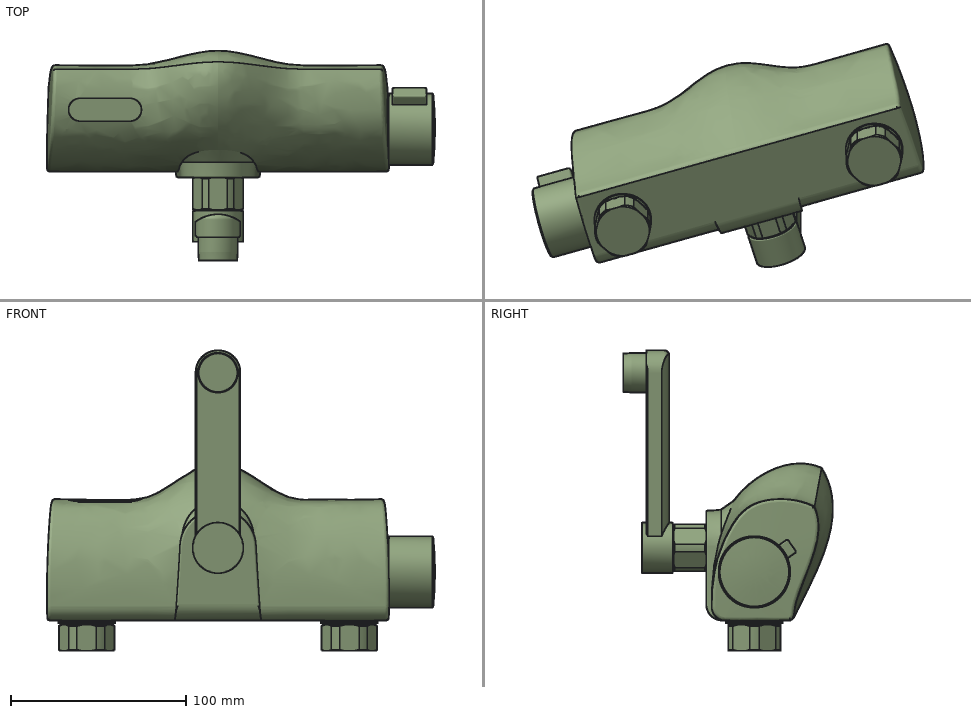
import cadquery as cq
import math


body_half_length = 97.8
hump_half_length = 48.0
hump_steps = 6
straight_steps = 4
end_cap_radius = 580.0
end_cap_center_y = -10.0
end_cap_center_z = 15.0
end_fillet = 2.0
envelope_low = -60.0
envelope_high = 110.0
end_top_z = 69.3
end_rear_y = 36.6

underside_rear_y = 20.5
underside_front_y = -16.5
front_end_points = [
    (-24.3, 8.0), (-21.7, 33.0), (-15.2, 50.0), (-4.0, 64.3), (14.0, end_top_z), (34.3, 65.0),
]
front_mid_points = [(-24.6, 8.0), (-22.5, 40.0), (-13.5, 66.0), (1.4, 81.3), (24.8, 89.8), (38.4, 87.3)]
rear_end_points = [(34.3, 65.0), (end_rear_y, 54.0), (32.8, 35.0), (22.4, 3.0)]
rear_mid_points = [(38.4, 87.3), (44.72, 68.0), (38.4, 35.0), (23.2, 3.0)]

recess_length = 41.7
recess_width = 13.0
recess_x = -64.5
recess_y = 11.1
recess_floor_z = 67.5

handle_z = 41.55
boss_front_y = -27.6
boss_rear_y = 0.0
boss_radius = 21.3
boss_foot_half_width = 24.6
boss_foot_z = -6.0
boss_draft = 4.0
boss_toe_radius = 9.5
boss_edge_fillet = 1.0
blend_start_y = -19.0
blend_depth = 14.0
blend_taper = 35.0

handle_diameter = 29.0
handle_hex_flats = 27.0
hex_chamfer = 0.6
handle_hex_end_y = -46.0
handle_neck_diameter = 26.44
handle_neck_length = 0.6
hub_end_y = -64.3
hub_fillet = 0.6
arm_width = 25.7
arm_length = 100.0
arm_front_y = -61.6
arm_side_rear_y = -52.9
arm_crown_rear_y = -48.6
arm_front_chamfer = 0.8
arm_end_fillet = 3.0
grip_overlap = 1.0
grip_diameter = 22.8
grip_tip_diameter = 22.0
grip_taper_y = -70.2
grip_end_y = -75.0

inlet_spacing = 150.0
inlet_flange_diameter = 32.6
inlet_flange_top_z = -0.6
inlet_flange_bottom_z = -1.6
inlet_neck_top_z = 2.0
inlet_neck_diameter = 28.5
nut_diameter = 32.0
nut_flats = 30.0
nut_top_z = -2.4
nut_bottom_z = -17.29
nut_chamfer = 0.8

knob_z = 27.8
knob_diameter = 41.0
knob_start_x = 97.6
knob_neck_diameter = 38.0
knob_neck_start_x = 90.0
knob_rim_x = 122.2
knob_end_x = 124.01
knob_rim_chamfer = 0.8
tab_start_x = 99.5
tab_end_x = 119.1
tab_angle = 35.0
tab_outer_radius = 26.2
tab_inner_radius = 15.0
tab_width = 9.0
tab_fillet = 1.0


def blended(end_points, mid_points, hump):
    """Points between the end section (hump = 0) and the middle section (hump = 1)."""
    return [
        (y0 + hump * (y1 - y0), z0 + hump * (z1 - z0))
        for (y0, z0), (y1, z1) in zip(end_points, mid_points)
    ]


def section_wire(x):
    """Closed body outline in the plane at x."""
    reach = min(abs(x) / hump_half_length, 1.0)
    hump = math.cos(math.pi / 2 * reach) ** 2
    front = blended(front_end_points, front_mid_points, hump)
    rear = blended(rear_end_points, rear_mid_points, hump)
    outline = (
        cq.Workplane("YZ", origin=(x, 0, 0))
        .moveTo(underside_rear_y, 0)
        .lineTo(underside_front_y, 0)
        .tangentArcPoint(front[0], relative=False)
        .spline(front[1:], includeCurrent=True)
        .spline(rear[1:], includeCurrent=True)
        .tangentArcPoint((underside_rear_y, 0), relative=False)
        .close()
    )
    return outline.val()


def make_body():
    """Humped body with slightly spherical, rounded ends."""
    hump_step = hump_half_length / hump_steps
    straight_step = (body_half_length - hump_half_length) / straight_steps
    stations = [hump_step * i for i in range(hump_steps)]
    stations += [hump_half_length + straight_step * i for i in range(straight_steps + 1)]
    half = cq.Workplane(obj=cq.Solid.makeLoft([section_wire(x) for x in stations]))
    body = half.union(half.mirror("YZ"))
    for side in (-1, 1):
        center = (side * (body_half_length - end_cap_radius), end_cap_center_y, end_cap_center_z)
        body = body.intersect(cq.Workplane("XY").sphere(end_cap_radius).translate(center))
    return body.faces("%SPHERE").edges().fillet(end_fillet)


def cut_recess(body):
    """Shallow flat-floored slot in the top."""
    slot = (
        cq.Workplane("XY", origin=(recess_x, recess_y, recess_floor_z))
        .slot2D(recess_length, recess_width)
        .extrude(end_top_z)
    )
    return body.cut(slot)


def make_boss():
    """Arched, drafted plate that carries the handle."""
    foot_drop = handle_z - boss_foot_z
    foot_angle = math.atan2(-foot_drop, boss_foot_half_width)
    foot_distance = math.hypot(boss_foot_half_width, foot_drop)
    shoulder_angle = foot_angle + math.acos(boss_radius / foot_distance)
    shoulder_x = boss_radius * math.cos(shoulder_angle)
    shoulder_z = handle_z + boss_radius * math.sin(shoulder_angle)
    depth = boss_rear_y - boss_front_y
    boss = (
        cq.Workplane("XZ", origin=(0, boss_front_y, 0))
        .moveTo(-boss_foot_half_width, boss_foot_z)
        .lineTo(boss_foot_half_width, boss_foot_z)
        .lineTo(shoulder_x, shoulder_z)
        .threePointArc((0, handle_z + boss_radius), (-shoulder_x, shoulder_z))
        .close()
        .extrude(-depth, taper=-boss_draft)
    )
    toe = (
        cq.Workplane("YZ", origin=(-body_half_length, 0, 0))
        .moveTo(boss_front_y, boss_toe_radius)
        .radiusArc((boss_front_y + boss_toe_radius, 0), -boss_toe_radius)
        .lineTo(boss_front_y + boss_toe_radius, envelope_low)
        .lineTo(envelope_low, envelope_low)
        .lineTo(envelope_low, boss_toe_radius)
        .close()
        .extrude(2 * body_half_length)
    )
    floor = cq.Workplane("XY").rect(2 * body_half_length, 2 * envelope_high).extrude(envelope_high)
    boss = boss.intersect(floor)
    return boss.faces("<Y").edges("not <Z").fillet(boss_edge_fillet).cut(toe)


def make_boss_blend():
    """Cone that eases the arched top of the boss into the hump; its lower part is buried in the body."""
    start_radius = boss_radius + (blend_start_y - boss_front_y) * math.tan(math.radians(boss_draft))
    return (
        cq.Workplane("XZ", origin=(0, blend_start_y, handle_z))
        .circle(start_radius)
        .extrude(-blend_depth, taper=-blend_taper)
    )


def along_y(start_y, end_y, diameter, z):
    """Cylinder running in -Y from start_y to end_y."""
    return cq.Workplane("XZ", origin=(0, start_y, z)).circle(diameter / 2).extrude(start_y - end_y)


def rounded_hex(plane, diameter, flats, length, chamfer):
    """Hexagon with one flat square to the plane's y axis and its corners turned to a diameter."""
    corner_diameter = flats / math.cos(math.pi / 6)
    hexagon = plane.polygon(6, corner_diameter).extrude(length)
    blank = plane.circle(diameter / 2).extrude(length).edges().chamfer(chamfer)
    return hexagon.intersect(blank)


def make_handle():
    """Hexagon, hub, upright arm and grip."""
    hexagon = rounded_hex(
        cq.Workplane("XZ", origin=(0, boss_front_y, handle_z)),
        handle_diameter, handle_hex_flats, boss_front_y - handle_hex_end_y, hex_chamfer,
    )
    hub_start_y = handle_hex_end_y - handle_neck_length
    neck = along_y(boss_rear_y, hub_start_y - handle_neck_length, handle_neck_diameter, handle_z)
    hub = along_y(hub_start_y, hub_end_y, handle_diameter, handle_z).edges().fillet(hub_fillet)

    grip_z = handle_z + arm_length
    half_width = arm_width / 2
    arm = (
        cq.Workplane("XY", origin=(0, 0, handle_z))
        .moveTo(-half_width, arm_side_rear_y)
        .threePointArc((0, arm_crown_rear_y), (half_width, arm_side_rear_y))
        .lineTo(half_width, arm_front_y + arm_front_chamfer)
        .lineTo(half_width - arm_front_chamfer, arm_front_y)
        .lineTo(arm_front_chamfer - half_width, arm_front_y)
        .lineTo(-half_width, arm_front_y + arm_front_chamfer)
        .close()
        .extrude(arm_length + half_width)
    )
    arm_depth = arm_crown_rear_y - arm_front_y
    stadium = (
        cq.Workplane("XZ", origin=(0, arm_crown_rear_y, handle_z))
        .moveTo(-half_width, 0)
        .lineTo(half_width, 0)
        .lineTo(half_width, arm_length)
        .threePointArc((0, arm_length + half_width), (-half_width, arm_length))
        .close()
        .extrude(arm_depth)
    )
    arm_round = stadium.faces(">Y").edges(">Z").fillet(arm_end_fillet)
    arm = arm.intersect(arm_round)

    grip = along_y(arm_front_y + grip_overlap, grip_taper_y, grip_diameter, grip_z)
    tip = (
        cq.Workplane("XZ", origin=(0, grip_taper_y, grip_z))
        .circle(grip_diameter / 2)
        .workplane(offset=grip_taper_y - grip_end_y)
        .circle(grip_tip_diameter / 2)
        .loft()
    )
    return hexagon.union(neck).union(hub).union(arm).union(grip).union(tip)


def make_inlet(x):
    """Flange, neck and nut below the body at x."""
    flange = (
        cq.Workplane("XY", origin=(x, 0, inlet_flange_bottom_z))
        .circle(inlet_flange_diameter / 2)
        .extrude(inlet_flange_top_z - inlet_flange_bottom_z)
    )
    neck = (
        cq.Workplane("XY", origin=(x, 0, nut_top_z))
        .circle(inlet_neck_diameter / 2)
        .extrude(inlet_neck_top_z - nut_top_z)
    )
    nut = rounded_hex(
        cq.Workplane("XY", origin=(x, 0, nut_bottom_z)),
        nut_diameter, nut_flats, nut_top_z - nut_bottom_z, nut_chamfer,
    )
    return flange.union(neck).union(nut)


def make_knob():
    """Knob with a slightly domed end and one raised grip tab."""
    radius = knob_diameter / 2
    rim_radius = radius - knob_rim_chamfer
    dome_start_x = knob_rim_x + knob_rim_chamfer
    dome_height = knob_end_x - dome_start_x
    dome_radius = (rim_radius**2 + dome_height**2) / (2 * dome_height)
    knob = (
        cq.Workplane("XY", origin=(0, 0, knob_z))
        .moveTo(knob_neck_start_x, 0)
        .lineTo(knob_neck_start_x, knob_neck_diameter / 2)
        .lineTo(knob_start_x, knob_neck_diameter / 2)
        .lineTo(knob_start_x, radius)
        .lineTo(knob_rim_x, radius)
        .lineTo(dome_start_x, rim_radius)
        .radiusArc((knob_end_x, 0), dome_radius)
        .close()
        .revolve(360, (0, 0, 0), (1, 0, 0))
    )
    tab = (
        cq.Workplane("XY")
        .box(
            tab_end_x - tab_start_x,
            tab_outer_radius - tab_inner_radius,
            tab_width,
            centered=(False, False, True),
        )
        .edges("|Y or >Y")
        .fillet(tab_fillet)
        .translate((tab_start_x, tab_inner_radius, 0))
        .rotate((0, 0, 0), (1, 0, 0), tab_angle)
        .translate((0, 0, knob_z))
    )
    return knob.union(tab)


result = cut_recess(make_body())
for feature in (make_boss_blend(), make_boss(), make_handle(), make_knob()):
    result = result.union(feature)
for inlet_x in (-inlet_spacing / 2, inlet_spacing / 2):
    result = result.union(make_inlet(inlet_x))